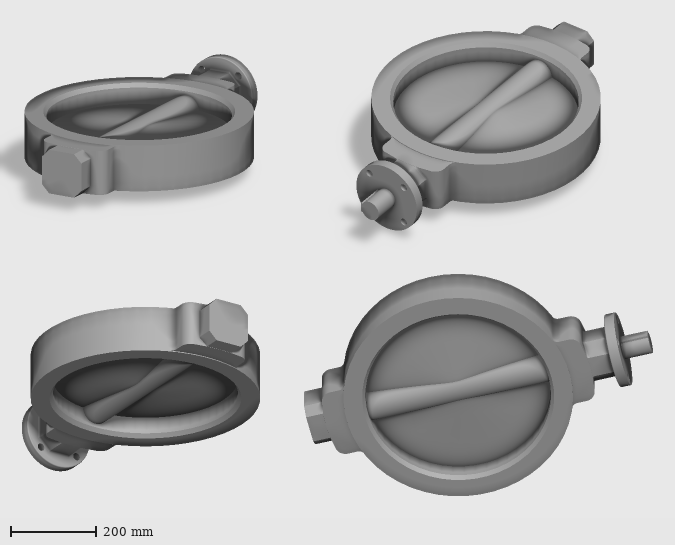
import cadquery as cq
import math


ring_radius = 269.0
ring_height = 112.0

lug_half_width = 86.0
lug_height = 108.0
lug_end_radius = 320.0
lug_corner_fillet = 25.0
lug_root_fillet = 15.0

octagon_width = 107.0
neck_flat = 51.0
stub_flat = 67.5
neck_fillet = 4.0
flange_radius = 87.0
flange_thickness = 25.0
flange_edge_fillet = 2.5
bolt_circle_radius = 70.0
bolt_hole_diameter = 18.0
bolt_count = 4

overall_length = 824.0
shaft_top = 465.0
flange_top = 399.0
stub_end = shaft_top - overall_length
flange_bottom = flange_top - flange_thickness

pick_margin = 1.0

liner_radius = 255.5
bore_radius = 217.5
bore_mouth_radius = 225.0
bore_mouth_depth = 10.0

disc_centre_half_thickness = 30.0
disc_rim_half_thickness = 6.0
hub_radius = 37.0

shaft_radius = 25.0
shaft_bottom = -313.0
key_width = 25.0
key_reach = 26.0
key_seat = 16.5


def y_cylinder(radius, y_start, y_end):
    """Cylinder on the shaft axis between two Y positions."""
    profile = cq.Workplane("XZ", origin=(0, y_start, 0)).circle(radius)
    return profile.extrude(y_start - y_end)


def y_octagon(flat, y_start, y_end):
    """Square bar with cut corners along Y; `flat` is the width left on each main side."""
    corner_cut = (octagon_width - flat) / 2
    bar = cq.Workplane("XZ", origin=(0, y_start, 0)).rect(octagon_width, octagon_width)
    return bar.extrude(y_start - y_end).edges("|Y").chamfer(corner_cut)


def z_cylinder(radius, height):
    """Cylinder on the flow axis, centred on the origin."""
    return cq.Workplane("XY").workplane(offset=-height / 2).circle(radius).extrude(height)


def make_lugs():
    """Both lugs as one bar across the ring, with rounded ends and fillets at the ring."""
    corner_x = lug_half_width
    corner_y = math.sqrt(lug_end_radius**2 - corner_x**2)
    bar = (
        cq.Workplane("XY")
        .workplane(offset=-lug_height / 2)
        .moveTo(-corner_x, -corner_y)
        .threePointArc((0, -lug_end_radius), (corner_x, -corner_y))
        .lineTo(corner_x, corner_y)
        .threePointArc((0, lug_end_radius), (-corner_x, corner_y))
        .close()
        .extrude(lug_height)
        .edges("|Z")
        .fillet(lug_corner_fillet)
    )
    root_y = math.sqrt(ring_radius**2 - lug_half_width**2)
    root_corners = cq.selectors.BoxSelector(
        (-lug_half_width - pick_margin, -root_y - pick_margin, -lug_height),
        (lug_half_width + pick_margin, root_y + pick_margin, lug_height),
    )
    lugs = bar.union(z_cylinder(ring_radius, lug_height))
    return lugs.edges("|Z").edges(root_corners).fillet(lug_root_fillet)


def make_flange():
    """Round mounting flange with its bolt holes."""
    flange = y_cylinder(flange_radius, flange_bottom, flange_top)
    flange = flange.faces("<Y").edges().fillet(flange_edge_fillet)
    holes = (
        cq.Workplane("XZ", origin=(0, flange_bottom, 0))
        .polarArray(bolt_circle_radius, 45, 360, bolt_count)
        .circle(bolt_hole_diameter / 2)
        .extrude(-flange_thickness)
    )
    return flange.cut(holes)


def make_neck():
    """Neck with a rounded root on the curved lug end, trimmed to its own height."""
    reach = octagon_width / 2 + pick_margin
    root_block = z_cylinder(lug_end_radius, 2 * lug_height)
    neck = root_block.union(y_octagon(neck_flat, 0, flange_bottom))
    root = cq.selectors.BoxSelector(
        (-reach, ring_radius, -reach),
        (reach, lug_end_radius + pick_margin, reach),
    )
    neck = neck.edges(root).fillet(neck_fillet)
    trim = cq.Workplane("XY").box(2 * (lug_half_width - lug_corner_fillet), flange_bottom, octagon_width)
    return neck.intersect(trim.translate((0, flange_bottom / 2, 0)))


def fillet_neck_top(body):
    """Round the joint between the neck and the flange."""
    reach = octagon_width / 2 + pick_margin
    joint = cq.selectors.BoxSelector(
        (-reach, flange_bottom - pick_margin, -reach),
        (reach, flange_bottom + pick_margin, reach),
    )
    return body.edges(joint).edges("%LINE").fillet(neck_fillet)


def make_housing():
    """Ring with lugs, neck, flange and stub, bored for the liner and the shaft."""
    liner_seat = z_cylinder(liner_radius, ring_height)
    ring = z_cylinder(ring_radius, ring_height).cut(liner_seat)
    stub = y_octagon(stub_flat, stub_end, 0)
    fittings = make_lugs().union(make_neck()).union(stub).cut(liner_seat)
    body = fillet_neck_top(ring.union(fittings).union(make_flange()))
    return body.cut(y_cylinder(shaft_radius, shaft_bottom, shaft_top))


def make_liner():
    """Seat ring with a tapered mouth on both faces and holes for the shaft."""
    liner = z_cylinder(liner_radius, ring_height).cut(z_cylinder(bore_radius, ring_height))
    half_height = ring_height / 2
    mouth = (
        cq.Workplane("XZ")
        .moveTo(0, half_height)
        .lineTo(bore_mouth_radius, half_height)
        .lineTo(bore_radius, half_height - bore_mouth_depth)
        .lineTo(0, half_height - bore_mouth_depth)
        .close()
        .revolve(360, (0, 0, 0), (0, 1, 0))
    )
    liner = liner.cut(mouth).cut(mouth.mirror("XY"))
    return liner.cut(y_cylinder(shaft_radius, shaft_bottom, shaft_top))


def make_disc():
    """Double-cone disc with a hub along the shaft, trimmed to the bore."""
    cones = (
        cq.Workplane("XZ")
        .moveTo(0, -disc_centre_half_thickness)
        .lineTo(bore_radius, -disc_rim_half_thickness)
        .lineTo(bore_radius, disc_rim_half_thickness)
        .lineTo(0, disc_centre_half_thickness)
        .close()
        .revolve(360, (0, 0, 0), (0, 1, 0))
    )
    hub = y_cylinder(hub_radius, -bore_radius, bore_radius)
    hub = hub.intersect(z_cylinder(bore_radius, ring_height))
    return cones.union(hub).cut(y_cylinder(shaft_radius, shaft_bottom, shaft_top))


def make_key():
    """Drive key on the +X side of the exposed shaft end."""
    key_length = shaft_top - flange_top
    corner = cq.Workplane("XY", origin=(key_seat, flange_top, 0))
    return corner.box(key_reach - key_seat, key_length, key_width, centered=(False, False, True))


key = make_key()
shaft = y_cylinder(shaft_radius, shaft_bottom, shaft_top).cut(key)
housing = make_housing()
liner = make_liner()
disc = make_disc()

result = cq.Compound.makeCompound([housing.val(), liner.val(), disc.val(), shaft.val(), key.val()])